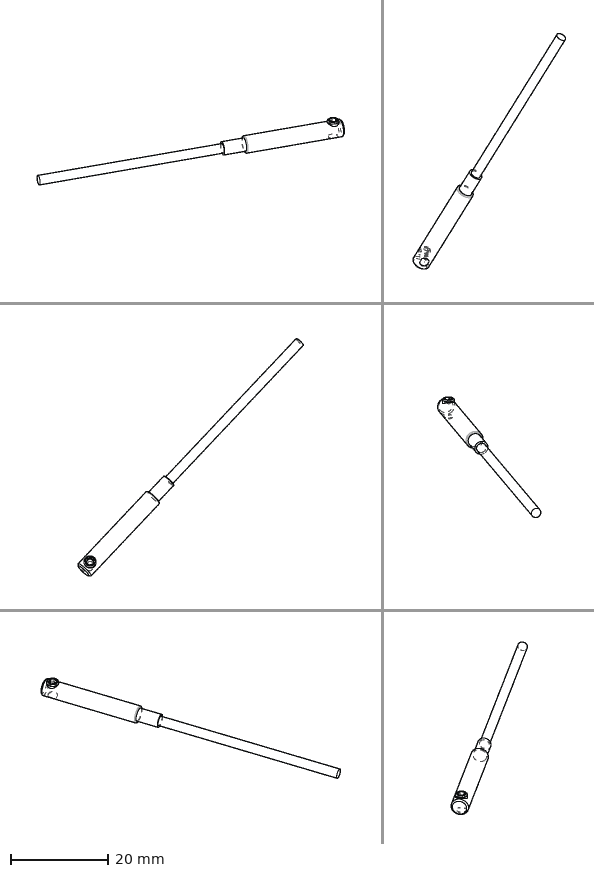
import cadquery as cq
import math

total_length = 65.85
body_diameter = 3.7
body_length = 21.2
body_back_chamfer = 0.3
body_front_radius = 0.2
sleeve_diameter = 2.8
sleeve_length = 4.75
cable_diameter = 2.05

boss_diameter = 2.5
boss_top = 2.25
boss_chamfer = 0.25
boss_end_distance = 2.0
socket_across_corners = 1.6
socket_across_flats = socket_across_corners * math.cos(math.radians(30))
socket_depth = 0.8
socket_cone_depth = 0.45

bottom_recess_diameter = 2.0
bottom_recess_depth = 0.2

back_end = total_length / 2
body_front = back_end - body_length
sleeve_front = body_front - sleeve_length
cable_length = total_length - body_length - sleeve_length
body_radius = body_diameter / 2
boss_y = back_end - boss_end_distance


def rod(diameter, front, length):
    """Cylinder on the Y axis running from front towards +Y."""
    start = cq.Workplane("XZ", origin=(0, front, 0))
    return start.circle(diameter / 2).extrude(-length)


def level(z):
    """Horizontal workplane centred on the boss axis."""
    return cq.Workplane("XY", origin=(0, boss_y, z))


def make_boss():
    boss = level(0).circle(boss_diameter / 2).extrude(boss_top)
    return boss.faces(">Z").chamfer(boss_chamfer)


def make_socket():
    floor = boss_top - socket_depth
    hexagon = level(floor).polygon(6, socket_across_corners).extrude(socket_depth)
    cone = cq.Workplane("XY").add(
        cq.Solid.makeCone(
            0,
            socket_across_flats / 2,
            socket_cone_depth,
            pnt=cq.Vector(0, boss_y, floor - socket_cone_depth),
        )
    )
    return hexagon.union(cone)


def make_bottom_recess():
    return level(-body_radius).circle(bottom_recess_diameter / 2).extrude(bottom_recess_depth)


body = rod(body_diameter, body_front, body_length)
body = body.faces(">Y").edges().chamfer(body_back_chamfer)
body = body.faces("<Y").edges().fillet(body_front_radius)
sleeve = rod(sleeve_diameter, sleeve_front, sleeve_length)
cable = rod(cable_diameter, -back_end, cable_length)

result = body.union(sleeve).union(cable).union(make_boss())
result = result.cut(make_socket()).cut(make_bottom_recess())